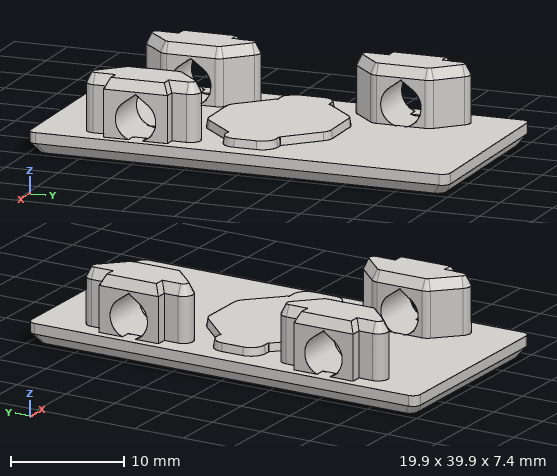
import cadquery as cq
import math

plate_width = 19.9
plate_length = 39.9
plate_height = 2.0
bevel_height = 1.0
bevel_inset = 0.7
plate_corner_radius = 0.8

inner_half_width = 8.1

pad_height = 0.75
pad_draft_angle = 10.0
pad_half_length = 5.95
pad_lobe_half_length = 2.55
pad_neck_x = 6.05
pad_corner_radius = 1.48

total_height = 7.4
block_taper_height = 1.0
block_offset_y = plate_length / 4
block_inner_x = 4.05
block_inner_half_length = 2.7
block_corner_radius = 0.95
tab_depth = 1.05
tab_half_length = 3.05

hole_radius = 1.9
hole_centre_height = 1.8
hole_roof_angle = 36.0

block_taper_inset = block_taper_height / 2
block_taper_angle = math.degrees(math.atan2(block_taper_inset, block_taper_height))
tab_outer_x = inner_half_width + tab_depth
hole_centre_z = plate_height + hole_centre_height


def rounded_rectangle(width, length):
    return cq.Sketch().rect(width, length).vertices().fillet(plate_corner_radius)


def make_plate():
    upper = rounded_rectangle(plate_width, plate_length)
    lower = rounded_rectangle(plate_width - 2 * bevel_inset, plate_length - 2 * bevel_inset)
    bevel = (
        cq.Workplane("XY")
        .placeSketch(lower, upper.moved(cq.Location(cq.Vector(0, 0, bevel_height))))
        .loft()
    )
    band = (
        cq.Workplane("XY")
        .workplane(offset=bevel_height)
        .placeSketch(upper)
        .extrude(plate_height - bevel_height)
    )
    return bevel.union(band)


def make_pad():
    """Wide lobe crossed by an octagon whose flanks run at 45 degrees."""
    flat_half_width = pad_neck_x - (pad_half_length - pad_lobe_half_length)
    lobe = cq.Sketch().rect(2 * inner_half_width, 2 * pad_lobe_half_length)
    lobe = lobe.vertices().fillet(pad_corner_radius)
    right_side = [
        (flat_half_width, -pad_half_length),
        (pad_neck_x, -pad_lobe_half_length),
        (pad_neck_x, pad_lobe_half_length),
        (flat_half_width, pad_half_length),
    ]
    left_side = [(-x, -y) for x, y in right_side]
    octagon = cq.Sketch().polygon(right_side + left_side + right_side[:1])
    octagon = octagon.vertices(">Y or <Y").fillet(pad_corner_radius)
    base = cq.Workplane("XY").workplane(offset=plate_height)
    pad = base.placeSketch(lobe).extrude(pad_height, taper=pad_draft_angle)
    return pad.union(base.placeSketch(octagon).extrude(pad_height, taper=pad_draft_angle))


def make_tapered_prism(outline):
    """Upright prism on the plate whose top part slopes inwards."""
    straight_height = total_height - plate_height - block_taper_height
    base = cq.Workplane("XY").workplane(offset=plate_height)
    straight = base.placeSketch(outline).extrude(straight_height)
    cap = (
        base.workplane(offset=straight_height)
        .placeSketch(outline)
        .extrude(block_taper_height, taper=block_taper_angle)
    )
    return straight.union(cap)


def make_body():
    """Block body on the -X side, centred on Y = 0, with 45 degree inner flanks."""
    sharp_corner_y = block_inner_half_length + inner_half_width - block_inner_x
    corners = [
        (-block_inner_x, -block_inner_half_length),
        (-block_inner_x, block_inner_half_length),
        (-inner_half_width, sharp_corner_y),
        (-inner_half_width, -sharp_corner_y),
    ]
    outline = cq.Sketch().polygon(corners + corners[:1])
    outline = outline.vertices().fillet(block_corner_radius)
    return make_tapered_prism(outline)


def make_tab():
    """Tab on the outer side of the body, reaching into the body's middle."""
    tab_inner_x = (inner_half_width + block_inner_x) / 2
    outline = cq.Sketch().rect(tab_outer_x - tab_inner_x, 2 * tab_half_length)
    centre_x = -(tab_outer_x + tab_inner_x) / 2
    return make_tapered_prism(outline).translate((centre_x, 0, 0))


def make_hole(start_x, end_x):
    """Round hole along X whose roof rises to a ridge."""
    roof = math.radians(hole_roof_angle)
    tangent_y = hole_radius * math.sin(roof)
    tangent_z = hole_centre_z + hole_radius * math.cos(roof)
    ridge_z = hole_centre_z + hole_radius / math.cos(roof)
    return (
        cq.Workplane("YZ")
        .workplane(offset=start_x)
        .moveTo(-tangent_y, tangent_z)
        .threePointArc((0, hole_centre_z - hole_radius), (tangent_y, tangent_z))
        .lineTo(0, ridge_z)
        .close()
        .extrude(end_x - start_x)
    )


def place(feature, turn, y):
    """Turn a feature about the Z axis and shift it along Y."""
    return feature.rotate((0, 0, 0), (0, 0, 1), turn).translate((0, y, 0))


body = make_body()
body_hole = make_hole(-inner_half_width, -block_inner_x)
tab = make_tab().cut(make_hole(-tab_outer_x, -block_inner_x))

block_places = [
    (0, block_offset_y),
    (0, -block_offset_y),
    (180, -block_offset_y),
]

result = make_plate().union(make_pad())
for turn, y in block_places:
    result = result.union(place(body, turn, y))
    result = result.cut(place(body_hole, turn, y))
    result = result.union(place(tab, turn, y))